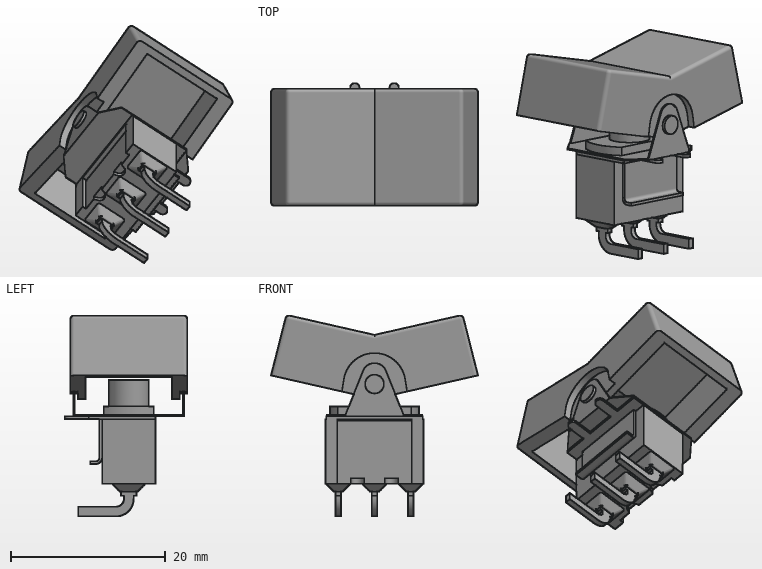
import cadquery as cq
import math


TILT = 12.8
END_LEAN = 14.2
ROCKER_HALF_X = 13.4
ROCKER_HALF_Y = 7.58
ROCKER_LOW_Z = 11.0
ROCKER_VALLEY_Z = 19.3
ROCKER_ROUND = 0.5
END_WALL = 1.0
SIDE_WALL = 2.0
ROOF_WALL = END_WALL
POCKET_DEPTH = 1.0
POCKET_RADIUS = 4.02
POCKET_FLARE = 8.5

PIN_Z = 12.92
PIN_DIAMETER = 2.45

BODY_X = 12.7
BODY_Y = 6.91
BODY_Z = 8.4
PANEL_X = 9.6
PANEL_DEPTH = 0.54
PANEL_BEVEL = 0.25
NOTCH_OFFSET = 2.2
NOTCH_RADIUS = 0.72
NOTCH_FLARE = 20.0
NOTCH_ARC_DEPTH = 0.32
NOTCH_Z = 0.75

PLATE_X = 12.55
PLATE_THICK = 0.38
PLATE_REAR_Y = 5.17
FINGER_TIP_Y = 8.3
FINGER_OFFSET = 2.55
FINGER_WIDTH = 1.23
STRAP_BEND_OUTER = 0.8
STRAP_LOW_Z = 2.57
STRAP_TIP_Y = 5.0

SHEET_THICK = 0.2
SHEET_X = 12.38
EAR_OUTER_Y = 7.18
EAR_SPLAY = 21.8
EAR_SHOULDER_Y = 5.17
EAR_TIP_DIAMETER = 3.2
EAR_TIP_Z = 14.05

COLLAR_DIAMETER = 11.52
COLLAR_Y = 6.49
COLLAR_TOP_Z = 10.05
BUSHING_DIAMETER = 5.2
BUSHING_TOP_Z = 13.45

TERMINAL_PITCH = 4.7
TERMINAL_THICK = 0.75
SEAL_X = 3.15
SEAL_Y = 4.3
SEAL_HEIGHT = 1.0
SEAL_SLOPE = 45.0
SEAL_CORNER = 0.32
SEAL_ROUND = 0.2
SHOULDER_Y = 2.05
SHOULDER_HEIGHT = 0.55
LEG_WIDTH = 1.29
LEG_LOW_Z = -4.2
LEG_TIP_Y = 6.55
LEG_BEND_INNER = 1.0

PLATE_TOP_Z = BODY_Z + PLATE_THICK
SHEET_TOP_Z = PLATE_TOP_Z + SHEET_THICK


def box(x_range, y_range, z_range):
    """Block between two coordinates on each axis."""
    size = [high - low for low, high in (x_range, y_range, z_range)]
    return cq.Workplane("XY").box(*size, centered=False).translate(
        (x_range[0], y_range[0], z_range[0])
    )


def prism_along_y(profile, y_low, y_high):
    """Extrude an XZ profile between two Y positions."""
    return profile.extrude(y_low - y_high).translate((0, y_low, 0))


def both_sides(feature):
    """Join a rear feature with its mirror image at the front."""
    return feature.union(feature.mirror("XZ"))


def arch_foot(radius, centre_v, side_angle, foot_v):
    """Half-width at foot_v of straight sides that leave an arc at side_angle from vertical."""
    angle = math.radians(side_angle)
    return (radius + (centre_v - foot_v) * math.sin(angle)) / math.cos(angle)


def tangent_arch(plane, radius, centre_v, side_angle, foot_v):
    """Outline symmetric about x = 0: an arc on top, straight tangent sides splaying down to foot_v."""
    angle = math.radians(side_angle)
    tangent_x = radius * math.cos(angle)
    tangent_v = centre_v + radius * math.sin(angle)
    foot_x = arch_foot(radius, centre_v, side_angle, foot_v)
    return (
        cq.Workplane(plane)
        .moveTo(-foot_x, foot_v)
        .lineTo(-tangent_x, tangent_v)
        .threePointArc((0, centre_v + radius), (tangent_x, tangent_v))
        .lineTo(foot_x, foot_v)
        .close()
    )


TILT_SIN = math.sin(math.radians(TILT))
TILT_COS = math.cos(math.radians(TILT))
ARM_LOW = ROCKER_LOW_Z * TILT_COS
ARM_HIGH = ROCKER_VALLEY_Z * TILT_COS
ARM_END = (ROCKER_HALF_X + ARM_LOW * TILT_SIN) / TILT_COS
REACH = 2 * ROCKER_HALF_X


def level_arm(end_x, half_y, low_z, high_z):
    """Untilted arm whose end face passes through the line x = end_x, z = ARM_LOW."""
    lean = math.tan(math.radians(END_LEAN - TILT))
    profile = cq.Workplane("XZ").polyline([
        (-REACH, low_z),
        (end_x - lean * (low_z - ARM_LOW), low_z),
        (end_x - lean * (high_z - ARM_LOW), high_z),
        (-REACH, high_z),
    ])
    return prism_along_y(profile.close(), -half_y, half_y)


def both_arms(arm):
    """Tilt a level arm, trim it at the centre plane and join its mirror image."""
    tilted = arm.rotate((0, 0, 0), (0, 1, 0), -TILT)
    half = tilted.intersect(box((0, REACH), (-REACH, REACH), (-REACH, REACH)))
    return half.union(half.mirror("YZ"))


def make_rocker():
    inner_y = ROCKER_HALF_Y - SIDE_WALL
    outside = level_arm(ARM_END, ROCKER_HALF_Y, ARM_LOW, ARM_HIGH)
    top_edges = outside.faces(">Z").edges("not <X")
    outside = top_edges.add(outside.faces(">X").edges("not |Y")).fillet(ROCKER_ROUND)
    hollow = level_arm(ARM_END - END_WALL, inner_y, 0, ARM_HIGH - ROOF_WALL)
    arch = tangent_arch("XZ", POCKET_RADIUS, PIN_Z, POCKET_FLARE, BODY_Z)
    pocket = prism_along_y(arch, ROCKER_HALF_Y - POCKET_DEPTH, ROCKER_HALF_Y)
    return both_arms(outside).cut(both_arms(hollow)).cut(both_sides(pocket))


def make_pins():
    pin = cq.Workplane("XZ").center(0, PIN_Z).circle(PIN_DIAMETER / 2)
    return both_sides(prism_along_y(pin, ROCKER_HALF_Y - SIDE_WALL, ROCKER_HALF_Y))


def make_bracket():
    half_x = SHEET_X / 2
    half_base = arch_foot(EAR_TIP_DIAMETER / 2, EAR_TIP_Z, EAR_SPLAY, PLATE_TOP_Z)
    corners = [
        (half_base, EAR_OUTER_Y),
        (half_x, EAR_SHOULDER_Y),
        (half_x, -EAR_SHOULDER_Y),
        (half_base, -EAR_OUTER_Y),
    ]
    corners += [(-x, y) for x, y in reversed(corners)]
    sheet = cq.Workplane("XY").workplane(offset=PLATE_TOP_Z).polyline(corners).close()
    sheet = sheet.extrude(SHEET_THICK)
    ear = prism_along_y(
        tangent_arch("XZ", EAR_TIP_DIAMETER / 2, EAR_TIP_Z, EAR_SPLAY, PLATE_TOP_Z),
        EAR_OUTER_Y - SHEET_THICK, EAR_OUTER_Y,
    )
    return sheet.union(both_sides(ear))


def make_bushing():
    collar = cq.Workplane("XY").workplane(offset=SHEET_TOP_Z).circle(COLLAR_DIAMETER / 2)
    collar = collar.extrude(COLLAR_TOP_Z - SHEET_TOP_Z)
    collar = collar.intersect(box((-REACH, REACH), (-COLLAR_Y / 2, COLLAR_Y / 2), (0, REACH)))
    bushing = cq.Workplane("XY").workplane(offset=COLLAR_TOP_Z).circle(BUSHING_DIAMETER / 2)
    return collar.union(bushing.extrude(BUSHING_TOP_Z - COLLAR_TOP_Z))


def make_plate():
    plate = box((-PLATE_X / 2, PLATE_X / 2), (-BODY_Y / 2, PLATE_REAR_Y), (BODY_Z, PLATE_TOP_Z))
    tip_radius = FINGER_WIDTH / 2
    tip_centre_y = FINGER_TIP_Y - tip_radius
    for x in (-FINGER_OFFSET, FINGER_OFFSET):
        finger = box((x - tip_radius, x + tip_radius), (0, tip_centre_y), (BODY_Z, PLATE_TOP_Z))
        tip = cq.Workplane("XY").circle(tip_radius).extrude(PLATE_THICK).translate((x, tip_centre_y, BODY_Z))
        plate = plate.union(finger).union(tip)
    return plate


def make_strap():
    """Strap down the rear of the body whose lower end bends out to the rear."""
    wall_y = BODY_Y / 2
    strap = (
        cq.Workplane("YZ")
        .moveTo(wall_y, BODY_Z)
        .lineTo(wall_y, STRAP_LOW_Z + STRAP_BEND_OUTER)
        .radiusArc((wall_y + STRAP_BEND_OUTER, STRAP_LOW_Z), -STRAP_BEND_OUTER)
        .lineTo(STRAP_TIP_Y, STRAP_LOW_Z)
        .lineTo(STRAP_TIP_Y, STRAP_LOW_Z + PLATE_THICK)
        .lineTo(wall_y + STRAP_BEND_OUTER, STRAP_LOW_Z + PLATE_THICK)
        .radiusArc((wall_y + PLATE_THICK, STRAP_LOW_Z + STRAP_BEND_OUTER), STRAP_BEND_OUTER - PLATE_THICK)
        .lineTo(wall_y + PLATE_THICK, BODY_Z)
        .close()
    )
    return strap.extrude(PANEL_X / 2, both=True)


def make_body():
    front_y = -BODY_Y / 2
    panel_y = front_y + PANEL_DEPTH
    body = box((-BODY_X / 2, BODY_X / 2), (front_y, -front_y), (0, BODY_Z))
    sunken = (
        cq.Workplane("YZ")
        .moveTo(front_y, 0)
        .lineTo(panel_y, 0)
        .lineTo(panel_y, BODY_Z - PANEL_BEVEL)
        .lineTo(panel_y + PANEL_BEVEL, BODY_Z)
        .lineTo(front_y, BODY_Z)
        .close()
        .extrude(PANEL_X / 2, both=True)
    )
    body = body.cut(sunken)
    arch = tangent_arch("XY", NOTCH_RADIUS, panel_y + NOTCH_ARC_DEPTH, NOTCH_FLARE, panel_y)
    notch = arch.extrude(NOTCH_Z)
    for x in (-NOTCH_OFFSET, NOTCH_OFFSET):
        body = body.cut(notch.translate((x, 0, 0)))
    return body


def make_terminal(x):
    """Sloped seal, shoulder and a leg bent to the rear."""
    inset = SEAL_HEIGHT / math.tan(math.radians(SEAL_SLOPE))
    base = cq.Sketch().rect(SEAL_X, SEAL_Y).vertices().fillet(SEAL_CORNER)
    tip = cq.Sketch().rect(SEAL_X - 2 * inset, SEAL_Y - 2 * inset).vertices().fillet(SEAL_CORNER)
    tip = tip.moved(cq.Location(cq.Vector(0, 0, -SEAL_HEIGHT)))
    seal = cq.Workplane("XY").placeSketch(base, tip).loft()
    seal = seal.faces("<Z").edges().fillet(SEAL_ROUND)
    half_thick = TERMINAL_THICK / 2
    shoulder_z = -SEAL_HEIGHT - SHOULDER_HEIGHT
    shoulder = box((-half_thick, half_thick), (-SHOULDER_Y / 2, SHOULDER_Y / 2), (shoulder_z, 0))
    half_leg = LEG_WIDTH / 2
    bend_y = half_leg + LEG_BEND_INNER
    upper_z = LEG_LOW_Z + LEG_WIDTH
    bend_z = upper_z + LEG_BEND_INNER
    leg = (
        cq.Workplane("YZ")
        .moveTo(-half_leg, shoulder_z)
        .lineTo(-half_leg, bend_z)
        .radiusArc((bend_y, LEG_LOW_Z), -(LEG_BEND_INNER + LEG_WIDTH))
        .lineTo(LEG_TIP_Y, LEG_LOW_Z)
        .lineTo(LEG_TIP_Y, upper_z)
        .lineTo(bend_y, upper_z)
        .radiusArc((half_leg, bend_z), LEG_BEND_INNER)
        .lineTo(half_leg, shoulder_z)
        .close()
        .extrude(half_thick, both=True)
    )
    return seal.union(shoulder).union(leg).translate((x, 0, 0))


result = make_body()
for terminal_x in (-TERMINAL_PITCH, 0, TERMINAL_PITCH):
    result = result.union(make_terminal(terminal_x))
result = result.union(make_plate()).union(make_strap()).union(make_bracket()).union(make_bushing())
result = result.union(make_rocker()).union(make_pins())